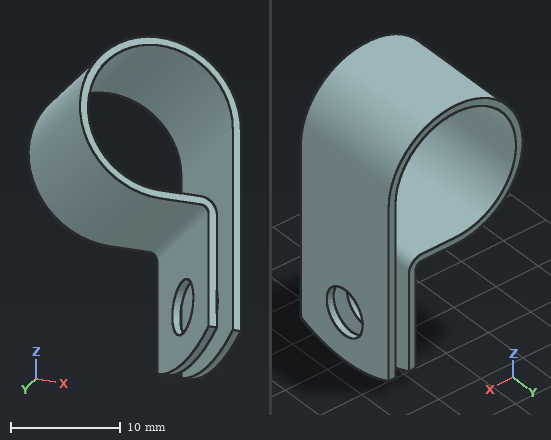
import cadquery as cq
import math

height = 29.13
width = 12.7
loop_diameter = 15.9
thickness = 0.82
leg_gap = 1.57
bend_inner_radius = 0.8
hole_diameter = 5.19
hole_height = 5.55
end_rise = 1.3

outer_radius = loop_diameter / 2
inner_radius = outer_radius - thickness
bottom = outer_radius - height
bend_outer_radius = bend_inner_radius + thickness
front_leg_inner = inner_radius - leg_gap
front_leg_outer = front_leg_inner - thickness
bend_x = front_leg_inner - bend_outer_radius
bend_z = -outer_radius - bend_inner_radius
diagonal = math.sqrt(0.5)


def make_strip():
    """Bent strip: back leg, three-quarter loop, flat shelf, bend and front leg."""
    return (
        cq.Workplane("XZ")
        .moveTo(outer_radius, bottom)
        .lineTo(outer_radius, 0)
        .threePointArc((-outer_radius * diagonal, outer_radius * diagonal), (0, -outer_radius))
        .lineTo(bend_x, -outer_radius)
        .threePointArc(
            (bend_x + bend_inner_radius * diagonal, bend_z + bend_inner_radius * diagonal),
            (front_leg_outer, bend_z),
        )
        .lineTo(front_leg_outer, bottom)
        .lineTo(front_leg_inner, bottom)
        .lineTo(front_leg_inner, bend_z)
        .threePointArc(
            (bend_x + bend_outer_radius * diagonal, bend_z + bend_outer_radius * diagonal),
            (bend_x, -inner_radius),
        )
        .lineTo(0, -inner_radius)
        .threePointArc((-inner_radius * diagonal, inner_radius * diagonal), (inner_radius, 0))
        .lineTo(inner_radius, bottom)
        .close()
        .extrude(width / 2, both=True)
    )


def make_end_envelope():
    """Block with a rounded lower edge that shapes both leg ends."""
    half_width = width / 2
    corner_z = bottom + end_rise
    return (
        cq.Workplane("YZ")
        .moveTo(-half_width, outer_radius)
        .lineTo(-half_width, corner_z)
        .threePointArc((0, bottom), (half_width, corner_z))
        .lineTo(half_width, outer_radius)
        .close()
        .extrude(outer_radius, both=True)
    )


def make_hole_cutter():
    """Cylinder along X that passes through both legs."""
    return (
        cq.Workplane("YZ")
        .center(0, bottom + hole_height)
        .circle(hole_diameter / 2)
        .extrude(loop_diameter)
    )


result = make_strip().intersect(make_end_envelope()).cut(make_hole_cutter())